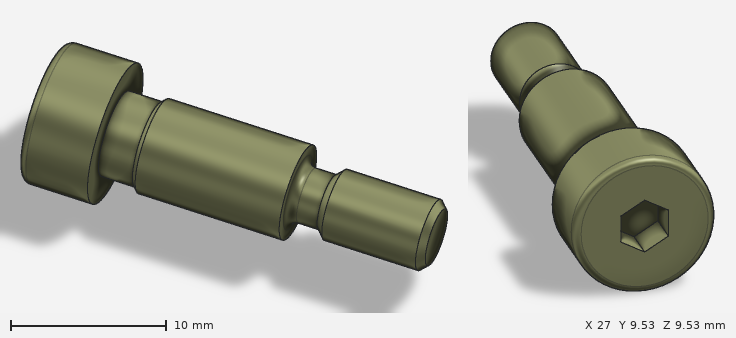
import cadquery as cq
import math

total_length = 27.0

head_diameter = 9.53
head_radius = head_diameter / 2
head_length = 4.78
head_rounding = 0.5

neck_radius = 2.9
neck_end = 7.13

shoulder_radius = 3.2
shoulder_end = 17.42
shoulder_chamfer = shoulder_radius - neck_radius

undercut_radius = 1.85
undercut_fillet = 0.65
undercut_end = 19.5

thread_radius = 2.4
thread_tip_chamfer = 0.49
thread_start_chamfer = thread_radius - undercut_radius

socket_across_flats = 3.19
socket_depth = head_length / 2


def cylinder(start, end, radius):
    """Solid cylinder around the X axis from start to end."""
    return cq.Workplane("YZ").workplane(offset=start).circle(radius).extrude(end - start)


def make_head():
    return cylinder(0, head_length, head_radius).faces("<X").edges().fillet(head_rounding)


def make_shoulder():
    neck = cylinder(head_length, neck_end, neck_radius)
    body = cylinder(neck_end, shoulder_end, shoulder_radius)
    return neck.union(body.faces("<X").chamfer(shoulder_chamfer))


def make_undercut():
    """Thin neck that flares with a quarter-round fillet into the shoulder face."""
    fillet_end = shoulder_end + undercut_fillet
    fillet_outer = undercut_radius + undercut_fillet
    arc_offset = undercut_fillet * (1 - math.sqrt(0.5))
    arc_middle = (shoulder_end + arc_offset, undercut_radius + arc_offset)
    return (
        cq.Workplane("XY")
        .moveTo(shoulder_end, 0)
        .lineTo(shoulder_end, fillet_outer)
        .threePointArc(arc_middle, (fillet_end, undercut_radius))
        .lineTo(undercut_end, undercut_radius)
        .lineTo(undercut_end, 0)
        .close()
        .revolve(360, (0, 0, 0), (1, 0, 0))
    )


def make_thread():
    """Plain cylinder at thread size, chamfered at both ends."""
    body = cylinder(undercut_end, total_length, thread_radius)
    body = body.faces("<X").chamfer(thread_start_chamfer)
    return body.faces(">X").chamfer(thread_tip_chamfer)


def make_socket():
    """Hexagonal drive recess with two corners on the Z axis."""
    across_corners = socket_across_flats / math.cos(math.pi / 6)
    return (
        cq.Workplane("YZ")
        .transformed(rotate=(0, 0, 90))
        .polygon(6, across_corners)
        .extrude(socket_depth)
    )


screw = make_head().union(make_shoulder()).union(make_undercut()).union(make_thread())
result = screw.cut(make_socket())